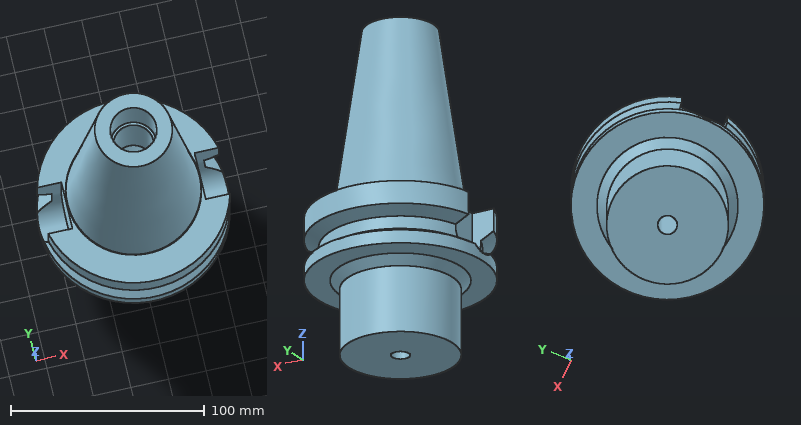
import cadquery as cq
import math

GAUGE_Z = 80.0
TAPER_LENGTH = 101.8
TOTAL_LENGTH = GAUGE_Z + TAPER_LENGTH

GAUGE_RADIUS = 69.85 / 2
TAPER_RATIO = 7 / 24
SMALL_END_RADIUS = GAUGE_RADIUS - TAPER_LENGTH * TAPER_RATIO / 2

TAPER_OVERRUN = 2.0
TAPER_BASE_RADIUS = GAUGE_RADIUS + TAPER_OVERRUN * TAPER_RATIO / 2
NECK_RADIUS = GAUGE_RADIUS
NECK_TOP_Z = GAUGE_Z - TAPER_OVERRUN

FLANGE_RADIUS = 50.0
FLANGE_TOP_Z = GAUGE_Z - 3.0
FLANGE_BOTTOM_Z = GAUGE_Z - 38.0
GROOVE_CENTER_Z = GAUGE_Z - 23.2
GROOVE_ROOT_RADIUS = 42.5
GROOVE_ROOT_HALF_WIDTH = 3.5
GROOVE_MOUTH_HALF_WIDTH = 7.5

SHANK_RADIUS = 31.5
SHANK_CONE_HEIGHT = 5.0

SLOT_WIDTH = 25.7
SLOT_FLOOR_X = 35.4
SLOT_BOTTOM_Z = 46.5

COUNTERBORE_RADIUS = 12.0
COUNTERBORE_DEPTH = 25.0
PILOT_RADIUS = 10.5
PILOT_DEPTH = 60.0
THROUGH_RADIUS = 5.0
DRILL_POINT_HALF_ANGLE = 59.0


def revolve_profile(points):
    """Revolve a closed (radius, height) outline about the Z axis."""
    return cq.Workplane("YZ").polyline(points).close().revolve(360, (0, 0, 0), (0, 1, 0))


def make_body():
    cone_base_z = FLANGE_BOTTOM_Z - SHANK_CONE_HEIGHT
    return revolve_profile([
        (0, 0),
        (SHANK_RADIUS, 0),
        (SHANK_RADIUS, cone_base_z),
        (SHANK_RADIUS + SHANK_CONE_HEIGHT, FLANGE_BOTTOM_Z),
        (FLANGE_RADIUS, FLANGE_BOTTOM_Z),
        (FLANGE_RADIUS, GROOVE_CENTER_Z - GROOVE_MOUTH_HALF_WIDTH),
        (GROOVE_ROOT_RADIUS, GROOVE_CENTER_Z - GROOVE_ROOT_HALF_WIDTH),
        (GROOVE_ROOT_RADIUS, GROOVE_CENTER_Z + GROOVE_ROOT_HALF_WIDTH),
        (FLANGE_RADIUS, GROOVE_CENTER_Z + GROOVE_MOUTH_HALF_WIDTH),
        (FLANGE_RADIUS, FLANGE_TOP_Z),
        (NECK_RADIUS, FLANGE_TOP_Z),
        (NECK_RADIUS, NECK_TOP_Z),
        (TAPER_BASE_RADIUS, NECK_TOP_Z),
        (SMALL_END_RADIUS, TOTAL_LENGTH),
        (0, TOTAL_LENGTH),
    ])


def make_bore():
    counterbore_floor_z = TOTAL_LENGTH - COUNTERBORE_DEPTH
    pilot_end_z = TOTAL_LENGTH - PILOT_DEPTH
    point_height = (PILOT_RADIUS - THROUGH_RADIUS) / math.tan(math.radians(DRILL_POINT_HALF_ANGLE))
    return revolve_profile([
        (0, 0),
        (THROUGH_RADIUS, 0),
        (THROUGH_RADIUS, pilot_end_z - point_height),
        (PILOT_RADIUS, pilot_end_z),
        (PILOT_RADIUS, counterbore_floor_z),
        (COUNTERBORE_RADIUS, counterbore_floor_z),
        (COUNTERBORE_RADIUS, TOTAL_LENGTH),
        (0, TOTAL_LENGTH),
    ])


def make_drive_slot(side):
    """Cutter for the round-bottomed slot on the +X (side = 1) or -X (side = -1) flank."""
    half_width = SLOT_WIDTH / 2
    arc_center_z = SLOT_BOTTOM_Z + half_width
    return (
        cq.Workplane("YZ", origin=(side * SLOT_FLOOR_X, 0, 0))
        .moveTo(-half_width, FLANGE_TOP_Z)
        .lineTo(-half_width, arc_center_z)
        .threePointArc((0, SLOT_BOTTOM_Z), (half_width, arc_center_z))
        .lineTo(half_width, FLANGE_TOP_Z)
        .close()
        .extrude(side * (FLANGE_RADIUS - SLOT_FLOOR_X))
    )


result = make_body().cut(make_bore())
for slot_side in (-1, 1):
    result = result.cut(make_drive_slot(slot_side))